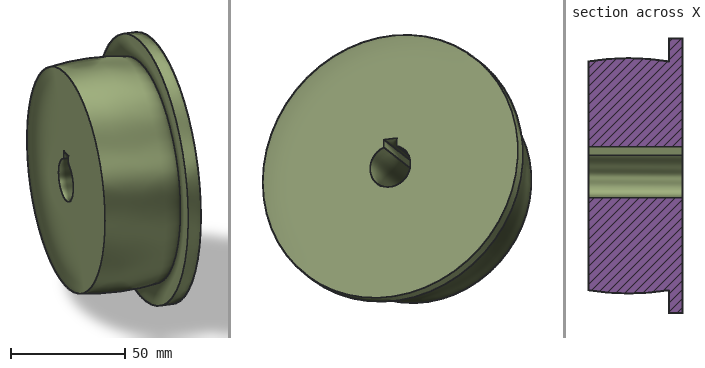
import cadquery as cq

flange_diameter = 120.0
flange_thickness = 6.0
total_width = 41.0
tread_edge_diameter = 100.0
tread_crown_diameter = 102.9
bore_diameter = 19.0
keyway_width = 6.0
keyway_top_height = 12.6

tread_width = total_width - flange_thickness
flange_radius = flange_diameter / 2
tread_edge_radius = tread_edge_diameter / 2
tread_crown_radius = tread_crown_diameter / 2


def wheel_body():
    """Revolve the half section: barrel-shaped tread, then the flat flange."""
    return (
        cq.Workplane("XY")
        .lineTo(tread_edge_radius, 0)
        .threePointArc((tread_crown_radius, tread_width / 2), (tread_edge_radius, tread_width))
        .lineTo(flange_radius, tread_width)
        .lineTo(flange_radius, total_width)
        .lineTo(0, total_width)
        .close()
        .revolve(360, (0, 0, 0), (0, 1, 0))
    )


def keyed_bore():
    """Through bore with a rectangular keyway on its +Z side."""
    bore = cq.Workplane("XZ").circle(bore_diameter / 2).extrude(-total_width)
    keyway = (
        cq.Workplane("XZ")
        .center(0, keyway_top_height / 2)
        .rect(keyway_width, keyway_top_height)
        .extrude(-total_width)
    )
    return bore.union(keyway)


result = wheel_body().cut(keyed_bore())